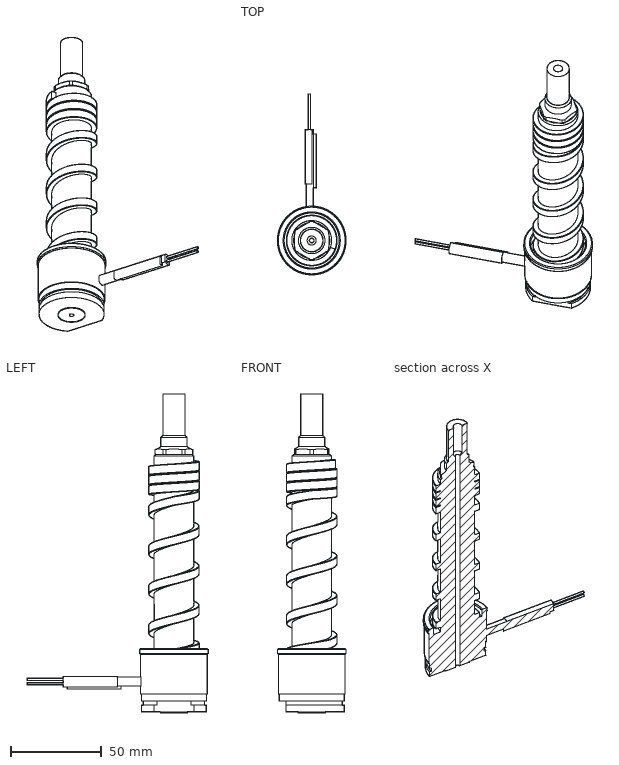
import cadquery as cq
import math

foot_radius = 7.5
foot_height = 0.5
base_radius = 18.0
lower_disc_top = 4.2
groove_radius = 17.0
groove_top = 6.4
neck_top = 10.3
housing_radius = 18.5
flange_radius = 19.0
flange_bottom = 32.2
flange_top = 35.4
flange_chamfer = 0.6
flat_x = -14.2

recess_radius = 15.2
recess_floor = 30.5
recess_chamfer = 0.6

core_radius = 11.0
core_top = 142.6
core_chamfer = 1.0
hex_across_flats = 19.0
hex_corner_flats = 21.0
hex_side_count = 6
hex_cone_drop = 1.8
shoulder_foot_radius = 8.3
shoulder_foot_drop = 0.8
shoulder_radius = 7.3
shoulder_bottom = 147.0
shoulder_top = 153.0
shoulder_chamfer = 1.0
shaft_radius = 6.15
shaft_top = 176.0

through_hole_radius = 1.25
bore_radius = 2.5
bore_depth = 20.0
bore_cone_height = 1.5

flight_radius = 14.0
flight_root_radius = 10.0
flight_height = 5.0
flight_chamfer = 0.3
flight_start_angle = 315.0
flight_start_z = 26.85
close_pitch = 5.3
feed_pitch = 21.8
entry_pitch = 14.0
exit_pitch = (feed_pitch + close_pitch) / 2
flight_stretches = [
    (close_pitch, 0.625),
    (entry_pitch, 0.375),
    (feed_pitch, 3.625),
    (exit_pitch, 0.25),
    (close_pitch, 3.194),
]

cable_z = 17.25
cable_x = -1.1
cable_width = 4.0
cable_height = 5.0
cable_start_y = 10.0
cable_corner = 0.8
sleeve_x = -1.6
sleeve_z = 17.1
sleeve_corner = 1.2
sleeve_width = 4.2
sleeve_height = 5.9
sleeve_start_y = 31.2
sleeve_end_y = 61.2
tag_width = 2.1
tag_height = 5.2
tag_bottom = 13.1
tag_start_y = 29.1
tag_end_y = 58.9
tag_overlap = 0.5
tag_corner = 0.3
lead_x = -1.3
lead_radius = 0.65
lead_spacing = 2.4
lead_end_y = 81.0


def cylinder(radius, z_low, z_high):
    """Cylinder on the Z axis between two heights."""
    return cq.Workplane("XY").workplane(offset=z_low).circle(radius).extrude(z_high - z_low)


def cone(radius_low, radius_high, z_low, z_high):
    """Truncated cone on the Z axis between two heights."""
    height = z_high - z_low
    return cq.Workplane(obj=cq.Solid.makeCone(radius_low, radius_high, height, cq.Vector(0, 0, z_low)))


def make_base():
    """Flanged housing with a snap groove, one flat side and a recess in its top face."""
    lower = cylinder(base_radius, foot_height, lower_disc_top)
    lower = lower.union(cylinder(groove_radius, lower_disc_top, groove_top))
    lower = lower.intersect(
        cq.Workplane("XY").box(2 * base_radius, 2 * base_radius, groove_top, centered=(False, True, False))
        .translate((flat_x, 0, 0))
    )
    flange = cylinder(flange_radius, flange_bottom, flange_top).edges().chamfer(flange_chamfer)
    base = (
        cylinder(foot_radius, 0, foot_height)
        .union(lower)
        .union(cylinder(base_radius, groove_top, neck_top))
        .union(cylinder(housing_radius, neck_top, flange_bottom))
        .union(flange)
    )
    rim = cone(recess_radius, recess_radius + recess_chamfer, flange_top - recess_chamfer, flange_top)
    return base.cut(cylinder(recess_radius, recess_floor, flange_top)).cut(rim)


def hexagon(across_flats, first_corner_angle):
    """Hexagonal prism from the core top up to the shoulder, one corner at the given angle."""
    height = shoulder_bottom - core_top
    corner_radius = across_flats / math.sqrt(3)
    return (
        cq.Workplane("XY").workplane(offset=core_top)
        .polygon(hex_side_count, 2 * corner_radius).extrude(height)
        .rotate((0, 0, 0), (0, 0, 1), first_corner_angle)
    )


def make_core():
    """Core tube, corner-trimmed hexagon with a two-step conical top, shoulder and drive shaft."""
    tube = cylinder(core_radius, recess_floor, core_top).faces(">Z").chamfer(core_chamfer)
    cone_rim_radius = hex_corner_flats / 2
    cone_bottom = shoulder_bottom - hex_cone_drop
    envelope = cylinder(cone_rim_radius, core_top, cone_bottom)
    foot_bottom = shoulder_bottom - shoulder_foot_drop
    envelope = envelope.union(cone(cone_rim_radius, shoulder_foot_radius, cone_bottom, foot_bottom))
    envelope = envelope.union(cone(shoulder_foot_radius, shoulder_radius, foot_bottom, shoulder_bottom))
    half_side_angle = 180 / hex_side_count
    sides = hexagon(hex_across_flats, half_side_angle)
    corner_trim = hexagon(hex_corner_flats, 0)
    nut = sides.intersect(corner_trim).intersect(envelope)
    shoulder = cylinder(shoulder_radius, shoulder_bottom, shoulder_top).faces(">Z").chamfer(shoulder_chamfer)
    shaft = cylinder(shaft_radius, shoulder_top, shaft_top)
    return tube.union(nut).union(shoulder).union(shaft)


def make_flight_stretch(pitch, turns):
    """Right-hand helical rib starting on +X, with its lower edge starting at height zero."""
    path = cq.Wire.makeHelix(pitch, pitch * turns, core_radius)
    return (
        cq.Workplane("XZ")
        .moveTo(flight_root_radius, 0)
        .lineTo(flight_radius - flight_chamfer, 0)
        .lineTo(flight_radius, flight_chamfer)
        .lineTo(flight_radius, flight_height - flight_chamfer)
        .lineTo(flight_radius - flight_chamfer, flight_height)
        .lineTo(flight_root_radius, flight_height)
        .close()
        .sweep(cq.Workplane(obj=path), isFrenet=True)
    )


def make_flight():
    """Stretches of the screw flight, each starting where the one below it ends."""
    stretches = []
    angle = flight_start_angle
    height = flight_start_z
    for pitch, turns in flight_stretches:
        rib = make_flight_stretch(pitch, turns)
        stretches.append(rib.rotate((0, 0, 0), (0, 0, 1), angle).translate((0, 0, height)))
        angle += 360 * turns
        height += pitch * turns
    return stretches


def bar_along_y(width, height, x, z, y_start, y_end, corner):
    """Bar along Y with rounded long edges, centred on x and z."""
    length = y_end - y_start
    return (
        cq.Workplane("XY").box(width, length, height)
        .edges("|Y").fillet(corner)
        .translate((x, y_start + length / 2, z))
    )


def make_cable():
    """Cable leaving the housing, its sleeve with a side tag, and two bare leads."""
    cable = bar_along_y(
        cable_width, cable_height, cable_x, cable_z, cable_start_y, sleeve_end_y, cable_corner
    )
    sleeve = bar_along_y(
        sleeve_width, sleeve_height, sleeve_x, sleeve_z, sleeve_start_y, sleeve_end_y, sleeve_corner
    )
    tag_x = sleeve_x + sleeve_width / 2 + tag_width / 2 - tag_overlap / 2
    tag_z = tag_bottom + tag_height / 2
    tag = bar_along_y(tag_width + tag_overlap, tag_height, tag_x, tag_z, tag_start_y, tag_end_y, tag_corner)
    cable = cable.union(sleeve).union(tag)
    for side in (-1, 1):
        lead = (
            cq.Workplane("XZ", origin=(lead_x, lead_end_y, cable_z + side * lead_spacing / 2))
            .circle(lead_radius).extrude(lead_end_y - sleeve_start_y)
        )
        cable = cable.union(lead)
    return cable


def make_bore():
    """Small hole through the whole length, opened to a wider drilled bore at the shaft end."""
    bore_floor = shaft_top - bore_depth
    return (
        cylinder(through_hole_radius, 0, shaft_top)
        .union(cylinder(bore_radius, bore_floor, shaft_top))
        .union(cone(through_hole_radius, bore_radius, bore_floor - bore_cone_height, bore_floor))
    )


part = make_base().union(make_core())
for stretch in make_flight():
    part = part.union(stretch)
result = part.union(make_cable()).cut(make_bore())